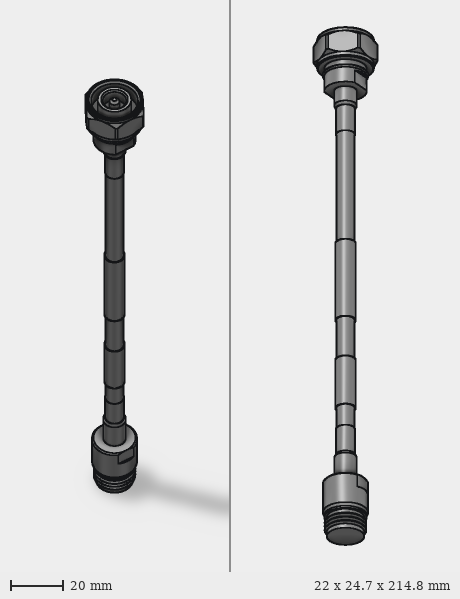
import cadquery as cq

LENGTH = 214.8

CABLE_RADIUS = 7.0 / 2
SHRINK_WALL = 0.15
LABEL_WALL = 0.5
FERRULE_RADIUS = 8.8 / 2
FERRULE_CONE_HEIGHT = 1.3
FERRULE_CONE_INSET = 0.6

NUT_ACROSS_FLATS = 22.0
NUT_ACROSS_CORNERS = 24.7
NUT_BOTTOM = 202.2
NUT_COLLAR_TOP_HEIGHT = 1.7
NUT_COLLAR_BOTTOM_HEIGHT = 2.0
NUT_RIM_CHAMFER = 0.5
SOCKET_RADIUS = 9.0
SOCKET_DEPTH = 6.5
SOCKET_MOUTH_CHAMFER = 0.9
CONTACT_TUBE_RADIUS = 6.5
CONTACT_BORE_RADIUS = 4.5
CONTACT_BORE_DEPTH = 5.4
CONTACT_TUBE_CHAMFER = 0.6
PIN_RADIUS = 2.0
PIN_TIP_CHAMFER = 1.0
MALE_BODY_RADIUS = 8.2
MALE_BODY_BOTTOM = 192.5
MALE_FLAT_OFFSET = 7.0
MALE_FLAT_HEIGHT = 5.4
BEAD_SECTION_RADIUS = 0.54
BEAD_OVERHANG = 0.1
BEAD_MIDDLE = 199.4
MALE_FERRULE_BOTTOM = 185.0

FEMALE_FERRULE_TOP = 35.2
FEMALE_BODY_TOP = 23.5
FEMALE_BODY_BOTTOM = 10.3
FEMALE_BODY_RADIUS = 17.5 / 2
FEMALE_BODY_CHAMFER = 0.6
FEMALE_FLAT_OFFSET = 8.0
FEMALE_FLAT_HEIGHT = 5.5
SHOULDER_RADIUS = 8.2
SHOULDER_CONE_HEIGHT = 1.3
SHOULDER_BOTTOM = 8.2
NECK_RADIUS = 14.5 / 2
THREAD_DEPTH = 0.9
THREAD_PITCH = 1.61
THREAD_START = 6.7
THREAD_RIDGES = 3

SHRINK_LENGTH = 11.2
UPPER_LABEL_TOP = 126.8
UPPER_LABEL_LENGTH = 33.3
LOWER_LABEL_TOP = 76.3
LOWER_LABEL_LENGTH = 20.8


def cylinder(radius, bottom, top):
    return cq.Workplane("XY").workplane(offset=bottom).circle(radius).extrude(top - bottom)


def tube(outer_radius, inner_radius, bottom, top):
    profile = cq.Workplane("XY").workplane(offset=bottom).circle(outer_radius).circle(inner_radius)
    return profile.extrude(top - bottom)


def revolved(profile):
    """Turn (radius, z) points around the Z axis."""
    return cq.Workplane("XZ").polyline(profile).close().revolve(360, (0, 0, 0), (0, 1, 0))


def cut_side_flats(body, offset, bottom, height):
    """Cut a wrench flat on the -X and +X sides of a round body."""
    cutter_width = 3 * offset
    for side in (-1, 1):
        cutter = cq.Workplane("XY").box(cutter_width, cutter_width, height, centered=(True, True, False))
        body = body.cut(cutter.translate((side * (offset + cutter_width / 2), 0, bottom)))
    return body


def make_nut():
    collar_radius = NUT_ACROSS_FLATS / 2
    corner_radius = NUT_ACROSS_CORNERS / 2
    cone_height = corner_radius - collar_radius
    upper_cone_top = LENGTH - NUT_COLLAR_TOP_HEIGHT
    lower_cone_bottom = NUT_BOTTOM + NUT_COLLAR_BOTTOM_HEIGHT
    hexagon = (
        cq.Workplane("XY")
        .workplane(offset=NUT_BOTTOM)
        .polygon(6, NUT_ACROSS_FLATS, circumscribed=True)
        .extrude(LENGTH - NUT_BOTTOM)
    )
    envelope = revolved([
        (0, NUT_BOTTOM),
        (collar_radius - NUT_RIM_CHAMFER, NUT_BOTTOM),
        (collar_radius, NUT_BOTTOM + NUT_RIM_CHAMFER),
        (collar_radius, lower_cone_bottom),
        (corner_radius, lower_cone_bottom + cone_height),
        (corner_radius, upper_cone_top - cone_height),
        (collar_radius, upper_cone_top),
        (collar_radius, LENGTH - NUT_RIM_CHAMFER),
        (collar_radius - NUT_RIM_CHAMFER, LENGTH),
        (0, LENGTH),
    ])
    return hexagon.intersect(envelope)


def cut_mating_face(connector):
    """Open the socket around the contact tube, and the bore around the centre pin."""
    socket = tube(SOCKET_RADIUS, CONTACT_TUBE_RADIUS, LENGTH - SOCKET_DEPTH, LENGTH)
    mouth_chamfer = revolved([
        (SOCKET_RADIUS, LENGTH - SOCKET_MOUTH_CHAMFER),
        (SOCKET_RADIUS + SOCKET_MOUTH_CHAMFER, LENGTH),
        (SOCKET_RADIUS, LENGTH),
    ])
    bore = tube(CONTACT_BORE_RADIUS, PIN_RADIUS, LENGTH - CONTACT_BORE_DEPTH, LENGTH)
    tube_chamfer = revolved([
        (CONTACT_BORE_RADIUS, LENGTH - CONTACT_TUBE_CHAMFER),
        (CONTACT_BORE_RADIUS + CONTACT_TUBE_CHAMFER, LENGTH),
        (CONTACT_BORE_RADIUS, LENGTH),
    ])
    pin_chamfer = revolved([
        (PIN_RADIUS, LENGTH - PIN_TIP_CHAMFER),
        (PIN_RADIUS, LENGTH),
        (PIN_RADIUS - PIN_TIP_CHAMFER, LENGTH),
    ])
    for cutter in (socket, mouth_chamfer, bore, tube_chamfer, pin_chamfer):
        connector = connector.cut(cutter)
    return connector


def make_male_connector():
    body = cylinder(MALE_BODY_RADIUS, MALE_BODY_BOTTOM, NUT_BOTTOM)
    body = cut_side_flats(body, MALE_FLAT_OFFSET, MALE_BODY_BOTTOM, MALE_FLAT_HEIGHT)
    bead_ring_radius = MALE_BODY_RADIUS + BEAD_OVERHANG
    bead = cq.Workplane("XY").add(cq.Solid.makeTorus(bead_ring_radius, BEAD_SECTION_RADIUS))
    bead = bead.translate((0, 0, BEAD_MIDDLE))
    ferrule = cylinder(FERRULE_RADIUS, MALE_FERRULE_BOTTOM, MALE_BODY_BOTTOM)
    ferrule = ferrule.faces("<Z").chamfer(FERRULE_CONE_HEIGHT, FERRULE_CONE_INSET)
    return cut_mating_face(make_nut()).union(body).union(bead).union(ferrule)


def make_thread_ridge(middle):
    half_pitch = THREAD_PITCH / 2
    return revolved([
        (0, middle - half_pitch),
        (NECK_RADIUS, middle - half_pitch),
        (NECK_RADIUS + THREAD_DEPTH, middle),
        (NECK_RADIUS, middle + half_pitch),
        (0, middle + half_pitch),
    ])


def make_female_connector():
    ferrule = cylinder(FERRULE_RADIUS, FEMALE_BODY_TOP, FEMALE_FERRULE_TOP)
    ferrule = ferrule.faces(">Z").chamfer(FERRULE_CONE_HEIGHT, FERRULE_CONE_INSET)
    body = cylinder(FEMALE_BODY_RADIUS, FEMALE_BODY_BOTTOM, FEMALE_BODY_TOP)
    body = body.faces(">Z").chamfer(FEMALE_BODY_CHAMFER)
    flat_bottom = FEMALE_BODY_TOP - FEMALE_FLAT_HEIGHT
    body = cut_side_flats(body, FEMALE_FLAT_OFFSET, flat_bottom, FEMALE_FLAT_HEIGHT)
    shoulder = revolved([
        (0, SHOULDER_BOTTOM),
        (SHOULDER_RADIUS, SHOULDER_BOTTOM),
        (SHOULDER_RADIUS, FEMALE_BODY_BOTTOM - SHOULDER_CONE_HEIGHT),
        (FEMALE_BODY_RADIUS, FEMALE_BODY_BOTTOM),
        (0, FEMALE_BODY_BOTTOM),
    ])
    neck = cylinder(NECK_RADIUS, 0, SHOULDER_BOTTOM)
    connector = ferrule.union(body).union(shoulder).union(neck)
    for ridge in range(THREAD_RIDGES):
        middle = THREAD_START - (ridge + 0.5) * THREAD_PITCH
        connector = connector.union(make_thread_ridge(middle))
    return connector


def make_sleeve(wall, bottom, length):
    """Make a tube that fits around the cable."""
    return tube(CABLE_RADIUS + wall, CABLE_RADIUS, bottom, bottom + length)


male_connector = make_male_connector()
female_connector = make_female_connector()
cable = cylinder(CABLE_RADIUS, FEMALE_FERRULE_TOP, MALE_FERRULE_BOTTOM)
shrink_tubes = [
    make_sleeve(SHRINK_WALL, bottom, SHRINK_LENGTH)
    for bottom in (FEMALE_FERRULE_TOP, MALE_FERRULE_BOTTOM - SHRINK_LENGTH)
]
labels = [
    make_sleeve(LABEL_WALL, top - length, length)
    for top, length in (
        (UPPER_LABEL_TOP, UPPER_LABEL_LENGTH),
        (LOWER_LABEL_TOP, LOWER_LABEL_LENGTH),
    )
]

result = cq.Compound.makeCompound([
    male_connector.val(),
    female_connector.val(),
    cable.val(),
    *[shrink_tube.val() for shrink_tube in shrink_tubes],
    *[label.val() for label in labels],
])